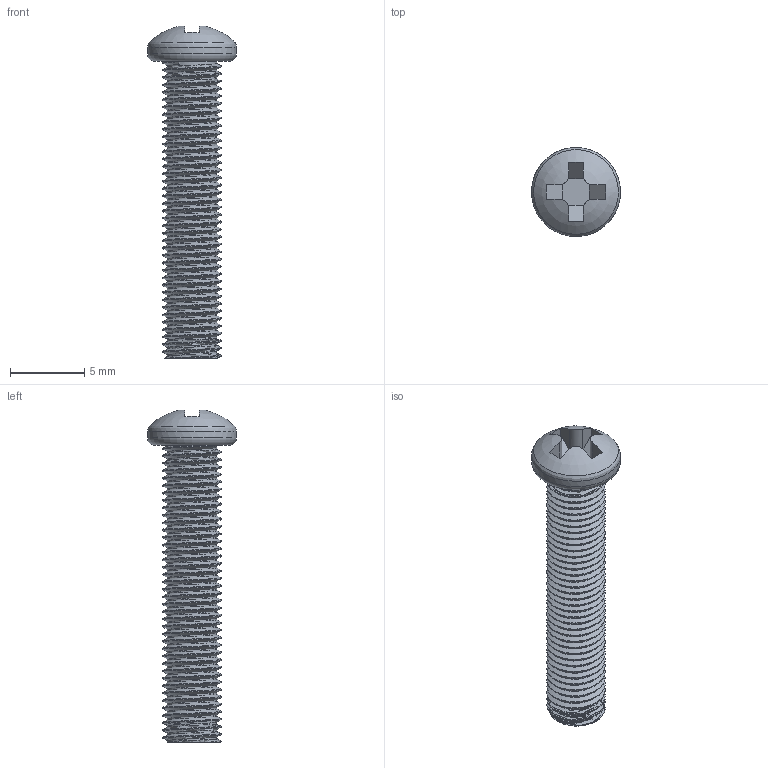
import cadquery as cq
import math

shank_length = 20.0
major_diameter = 3.93
root_diameter = 3.36
pitch = 0.5
crest_width = pitch / 8
flank_angle = 30.0
thread_embed = 0.05
first_crest_height = 0.165
root_radius = root_diameter / 2
major_radius = major_diameter / 2
thread_start = first_crest_height - 2 * pitch
thread_length = shank_length - thread_start

head_diameter = 6.0
head_radius = head_diameter / 2
head_height = 2.5
dome_radius = 4.0
rim_fillet = 0.5

wing_width = 1.0
wing_span = 4.0
recess_floor_span = 1.76
recess_corner_radius = 0.6
recess_depth = 2.2
recess_slope_angle = 45.0

apex_z = shank_length + head_height
dome_center_z = apex_z - dome_radius


def dome_height(radius):
    """Z of the dome surface at a distance from the screw axis."""
    return dome_center_z + math.sqrt(dome_radius**2 - radius**2)


def make_head():
    rim_z = dome_height(head_radius)
    half_radius = head_radius / 2
    profile = (
        cq.Workplane("XZ")
        .moveTo(0, shank_length)
        .lineTo(head_radius, shank_length)
        .lineTo(head_radius, rim_z)
        .threePointArc((half_radius, dome_height(half_radius)), (0, apex_z))
        .close()
    )
    head = profile.revolve(360, (0, 0, 0), (0, 1, 0))
    return head.edges("%CIRCLE").fillet(rim_fillet)


def make_recess():
    """Cross-shaped cutter: upright walls, a flat floor and a ramp up to each wing's end wall."""
    floor_z = apex_z - recess_depth
    floor = cq.Workplane("XY", origin=(0, 0, floor_z))
    cross = (
        floor.rect(wing_span, wing_width)
        .extrude(recess_depth)
        .union(floor.rect(wing_width, wing_span).extrude(recess_depth))
    )
    inner_corners = cq.selectors.BoxSelector(
        (-wing_width, -wing_width, floor_z),
        (wing_width, wing_width, apex_z),
    )
    cross = cross.edges("|Z").edges(inner_corners).fillet(recess_corner_radius)
    rise = math.tan(math.radians(recess_slope_angle))
    funnel_top_span = recess_floor_span + 2 * recess_depth / rise
    funnel = (
        floor.rect(recess_floor_span, recess_floor_span)
        .workplane(offset=recess_depth)
        .rect(funnel_top_span, funnel_top_span)
        .loft(ruled=True)
    )
    return cross.intersect(funnel)


def helix_edge(radius, height):
    """Helical wire spanning the whole thread at one corner of the ridge profile."""
    return cq.Wire.makeHelix(pitch, thread_length, radius).translate(cq.Vector(0, 0, height))


def make_thread_ridge():
    """Right-handed trapezoid ridge whose base is sunk into the core."""
    flank_slope = math.tan(math.radians(flank_angle))
    crest_half = crest_width / 2
    base_radius = root_radius - thread_embed
    base_half = crest_half + flank_slope * (major_radius - base_radius)
    edges = [
        helix_edge(base_radius, -base_half),
        helix_edge(major_radius, -crest_half),
        helix_edge(major_radius, crest_half),
        helix_edge(base_radius, base_half),
    ]
    faces = []
    for lower, upper in zip(edges, edges[1:] + edges[:1]):
        faces.extend(cq.Face.makeRuledSurface(lower, upper).Faces())
    start_corners = [edge.startPoint() for edge in edges]
    end_corners = [edge.endPoint() for edge in edges]
    for corners in (start_corners, end_corners):
        faces.append(cq.Face.makeFromWires(cq.Wire.makePolygon(corners, close=True)))
    ridge = cq.Solid.makeSolid(cq.Shell.makeShell(faces))
    return cq.Workplane(ridge).translate((0, 0, thread_start))


def make_shank():
    """Threaded core, cut flat at the free end (Z = 0)."""
    core = cq.Workplane("XY").circle(root_radius).extrude(shank_length)
    waste_depth = pitch - thread_start
    waste = cq.Workplane("XY").circle(major_diameter).extrude(-waste_depth)
    ridge = make_thread_ridge().cut(waste, clean=False)
    return core.union(ridge, clean=False)


head = make_head().cut(make_recess())
result = head.union(make_shank(), clean=False)